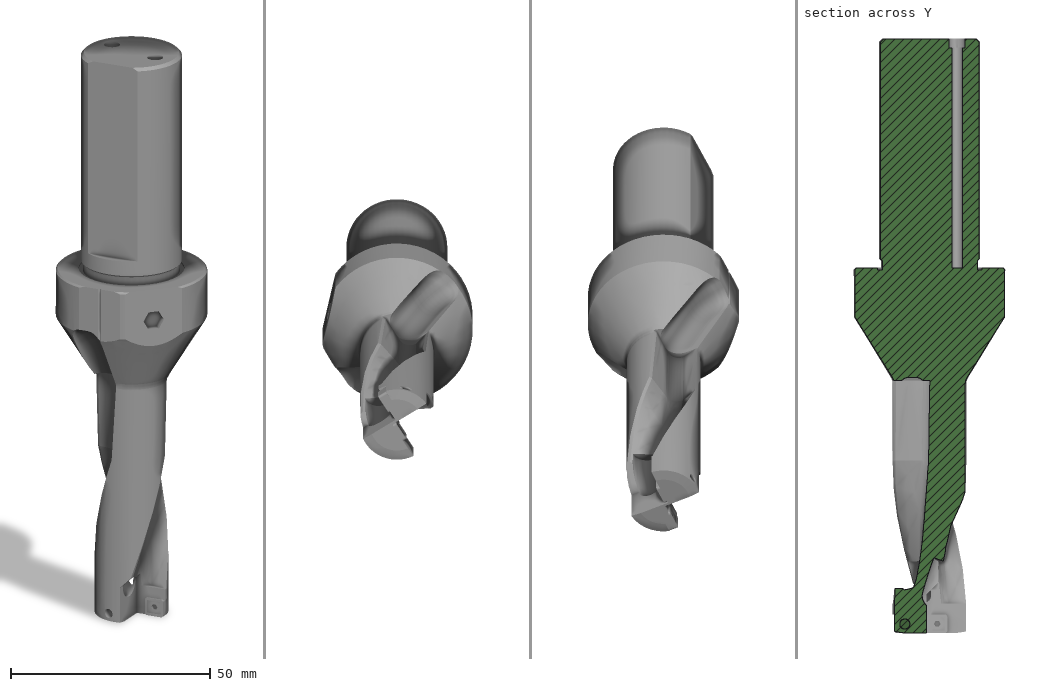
import cadquery as cq
import math


total_length = 149.2
drill_top = 63.4
collar_bottom = 79.4
collar_top = 91.7
shank_bottom = 93.5

drill_radius = 9.2
drill_diameter = 2 * drill_radius
collar_radius = 19.02
shank_radius = 12.7
shank_chamfer = 0.7
small_chamfer = 0.5
neck_radius = shank_radius - small_chamfer
cone_fillet = 3
groove_radius = 13.3
groove_depth = 0.5
tip_flat_radius = 6.7
tip_rise = 0.37

shank_flat_offset = 10.6
shank_flat_bottom = 97.8
collar_flat_offset = 18.12
plug_flat_offset = 17.5
plug_flat_angle = 45
mark_width = 0.7
mark_depth = 0.5

inlet_places = [(-6.9, 2.8), (7.2, -1.0)]
inlet_diameter = 4.0
inlet_depth = 2.2
channel_diameter = 2.7
channel_depth = total_length - collar_top

flute_count = 2
flute_bottom = 7.5
helix_break = 43.3
slow_twist_per_unit = 0.4023
fast_twist_per_unit = 2.145
flute_floor = 2.0
flute_corner_radius = 3
flute_wall_inner_x = 1.3
flute_wall_outer_x = 0.3
flute_edge_drop = 0.5
flute_edge_x = -8.4

scoop_radius = 3.6
scoop_center = (-1.3, 4.0, 9.4)
scoop_lean = 20
scoop_swing = 10
scoop_length = 9

runout_left_x = -9.1
runout_right_x = 0.3
runout_floor_top = 74.6
runout_top = 80.1
runout_fillet = 3.7

insert_width = 5.0
insert_height = 4.6
insert_thickness = 2.4
insert_corner_radius = 0.6
chip_groove_margin = 0.6
chip_groove_depth = 0.3
outer_insert_x = 6.3
inner_insert_x = 2.0
outer_gullet_x = 1.3
inner_gullet_x = -0.7
outer_gullet_wall = 0.5
inner_gullet_wall = 0.9
gullet_top = 9.7
screw_head_diameter = 3.6
screw_diameter = 2.4
screw_head_height = 1.2
screw_length = 6
screw_socket_diameter = 1.6
screw_socket_depth = 0.7

plug_height = 83.5
plug_diameter = 9.5
plug_length = 6
plug_socket_diameter = 5.4
plug_socket_depth = 2.2

clear = 2 * collar_radius


def box_between(x_range, y_range, z_range):
    """Box spanning the given pairs of coordinates."""
    size = [high - low for low, high in (x_range, y_range, z_range)]
    corner = (x_range[0], y_range[0], z_range[0])
    return cq.Workplane("XY").box(*size, centered=False).translate(corner)


def half_turn(shape):
    """Copy on the opposite side of the drill axis."""
    return shape.rotate((0, 0, 0), (0, 0, 1), 180)



def turned_blank():
    """Shank, neck, collar, cone and drill as one turned shape."""
    return (
        cq.Workplane("XZ")
        .moveTo(0, 0)
        .lineTo(tip_flat_radius, 0)
        .lineTo(drill_radius, tip_rise)
        .lineTo(drill_radius, drill_top)
        .lineTo(collar_radius, collar_bottom)
        .lineTo(collar_radius, collar_top - small_chamfer)
        .lineTo(collar_radius - small_chamfer, collar_top)
        .lineTo(groove_radius, collar_top)
        .lineTo(groove_radius, collar_top - groove_depth)
        .lineTo(neck_radius, collar_top - groove_depth)
        .lineTo(neck_radius, shank_bottom)
        .lineTo(shank_radius, shank_bottom + small_chamfer)
        .lineTo(shank_radius, total_length - shank_chamfer)
        .lineTo(shank_radius - shank_chamfer, total_length)
        .lineTo(0, total_length)
        .close()
        .revolve(360, (0, 0, 0), (0, 1, 0))
        .edges(cq.selectors.NearestToPointSelector((0, -drill_radius, drill_top)))
        .fillet(cone_fillet)
    )


def cut_flats(body):
    """Clamping flat on the shank, and the two flats on the collar with the index mark."""
    shank_flat = box_between(
        (-clear, clear), (-clear, -shank_flat_offset), (shank_flat_bottom, total_length + clear)
    )
    collar_range = (drill_top, collar_top)
    collar_flat = box_between((-clear, clear), (-clear, -collar_flat_offset), collar_range)
    plug_flat = box_between((-clear, clear), (-clear, -plug_flat_offset), collar_range)
    plug_flat = plug_flat.rotate((0, 0, 0), (0, 0, 1), plug_flat_angle)
    mark = (
        cq.Workplane("XY", origin=(0, -collar_flat_offset, drill_top))
        .moveTo(-mark_width / 2, 0)
        .lineTo(mark_width / 2, 0)
        .lineTo(0, mark_depth)
        .close()
        .extrude(collar_top - drill_top)
    )
    return body.cut(shank_flat).cut(collar_flat).cut(plug_flat).cut(mark)


def cut_coolant_inlets(body):
    """Stepped coolant holes in the end of the shank."""
    return (
        body.faces(">Z")
        .workplane(origin=(0, 0, total_length))
        .pushPoints(inlet_places)
        .cboreHole(channel_diameter, inlet_diameter, inlet_depth, channel_depth)
    )


def flute_profile(height, turn):
    """Cross-section of a flute at the given height, turned about the axis by an angle."""
    corner_middle = flute_corner_radius * (1 - math.sqrt(0.5))
    return (
        cq.Workplane("XY", origin=(0, 0, height))
        .transformed(rotate=(0, 0, turn))
        .moveTo(-drill_diameter, flute_edge_drop - flute_floor)
        .lineTo(-drill_radius, flute_edge_drop - flute_floor)
        .lineTo(flute_edge_x, -flute_floor)
        .lineTo(flute_wall_inner_x - flute_corner_radius, -flute_floor)
        .threePointArc(
            (flute_wall_inner_x - corner_middle, -flute_floor - corner_middle),
            (flute_wall_inner_x, -flute_floor - flute_corner_radius),
        )
        .lineTo(flute_wall_outer_x, -drill_radius)
        .lineTo(flute_wall_outer_x, -drill_diameter)
        .lineTo(-drill_diameter, -drill_diameter)
        .close()
    )


def flute_runout():
    """Slot whose floor climbs parallel to the cone and curves out at the collar."""
    slope = (collar_radius - drill_radius) / (collar_bottom - drill_top)
    floor_end_y = -flute_floor - slope * (runout_floor_top - drill_top)
    floor_and_end = cq.selectors.BoxSelector(
        (-clear, 1.5 - collar_radius, drill_top + 1.5), (clear, -flute_floor, runout_top - small_chamfer)
    )
    return (
        cq.Workplane("YZ", origin=(runout_left_x, 0, 0))
        .moveTo(-flute_floor, drill_top)
        .lineTo(floor_end_y, runout_floor_top)
        .tangentArcPoint((-collar_radius, runout_top), relative=False)
        .lineTo(-clear, runout_top)
        .lineTo(-clear, drill_top)
        .close()
        .extrude(runout_right_x - runout_left_x)
        .edges(floor_and_end)
        .edges("not |X")
        .fillet(runout_fillet)
    )


def flute_scoop():
    """Ball and cylinder that lean out of the drill towards their upper end."""
    return (
        cq.Workplane("XY")
        .circle(scoop_radius)
        .extrude(scoop_length)
        .union(cq.Workplane("XY").sphere(scoop_radius))
        .rotate((0, 0, 0), (0, 1, 0), -scoop_lean)
        .rotate((0, 0, 0), (1, 0, 0), scoop_swing)
        .translate(scoop_center)
    )


def cut_flutes(body):
    """Helical flutes with a ball-shaped lower end and a run-out in the cone."""
    slow_length = drill_top - helix_break
    slow_twist = slow_twist_per_unit * slow_length
    fast_length = helix_break - flute_bottom
    fast_twist = fast_twist_per_unit * fast_length
    slow_helix = flute_profile(helix_break, -slow_twist).twistExtrude(slow_length, slow_twist)
    fast_helix = flute_profile(flute_bottom, -slow_twist - fast_twist)
    fast_helix = fast_helix.twistExtrude(fast_length, fast_twist)
    scoop = flute_scoop()
    runout = flute_runout()
    for index in range(flute_count):
        turn = index * 360 / flute_count
        for cutter in (fast_helix, slow_helix, scoop, runout):
            body = body.cut(cutter.rotate((0, 0, 0), (0, 0, 1), turn))
    return body



def insert_blank(center_x):
    """Square insert without its groove and screw hole."""
    return (
        cq.Workplane("XZ", origin=(center_x, 0, insert_height / 2))
        .rect(insert_width, insert_height)
        .extrude(-insert_thickness)
        .edges("|Y")
        .fillet(insert_corner_radius)
    )


def screw_blank(center_x, length):
    """Countersunk screw without its socket; its head lies in the insert's groove floor."""
    half_head = screw_head_diameter / 2
    half_shank = screw_diameter / 2
    return (
        cq.Workplane("XY", origin=(center_x, 0, insert_height / 2))
        .moveTo(0, chip_groove_depth)
        .lineTo(half_head, chip_groove_depth)
        .lineTo(half_shank, screw_head_height)
        .lineTo(half_shank, length)
        .lineTo(0, length)
        .close()
        .revolve(360, (0, 0, 0), (0, 1, 0))
    )


def make_insert(center_x):
    """Insert with a sunken chip groove and a countersunk hole."""
    groove = (
        cq.Workplane("XZ", origin=(center_x, 0, insert_height / 2))
        .rect(insert_width - 2 * chip_groove_margin, insert_height - 2 * chip_groove_margin)
        .extrude(-chip_groove_depth)
    )
    return insert_blank(center_x).cut(groove).cut(screw_blank(center_x, screw_length))


def make_screw(center_x):
    """Countersunk insert screw with a hexagonal socket."""
    socket = (
        cq.Workplane("XZ", origin=(center_x, 0, insert_height / 2))
        .polygon(6, screw_socket_diameter)
        .extrude(-chip_groove_depth - screw_socket_depth)
    )
    return screw_blank(center_x, screw_length).cut(socket)


def insert_seat(center_x, gullet_x, gullet_wall):
    """Chip gullet with a 45 degree top, insert pocket and through screw hole to remove from the body."""
    gullet = (
        cq.Workplane("XZ", origin=(0, gullet_wall, 0))
        .moveTo(gullet_x, 0)
        .lineTo(gullet_x, gullet_top)
        .lineTo(gullet_x + drill_diameter, gullet_top + drill_diameter)
        .lineTo(gullet_x + drill_diameter, 0)
        .close()
        .extrude(drill_diameter)
    )
    return gullet.union(insert_blank(center_x)).union(screw_blank(center_x, clear))


def cut_insert_seats(body):
    """Outer seat, open to the side of the drill, and inner seat near the axis."""
    outer_side = box_between(
        (outer_insert_x, clear), (-clear, insert_thickness), (-clear, insert_height)
    )
    outer_seat = insert_seat(outer_insert_x, outer_gullet_x, outer_gullet_wall)
    inner_seat = half_turn(insert_seat(inner_insert_x, inner_gullet_x, inner_gullet_wall))
    return body.cut(outer_seat).cut(outer_side).cut(inner_seat)



def plug_blank():
    """Cylinder of the plug, flush with the slanting flat of the collar."""
    return (
        cq.Workplane("XZ", origin=(0, -plug_flat_offset, plug_height))
        .circle(plug_diameter / 2)
        .extrude(-plug_length)
        .rotate((0, 0, 0), (0, 0, 1), plug_flat_angle)
    )


def make_plug():
    """Threaded plug with a hexagonal socket."""
    socket = (
        cq.Workplane("XZ", origin=(0, -plug_flat_offset, plug_height))
        .polygon(6, plug_socket_diameter)
        .extrude(-plug_socket_depth)
        .rotate((0, 0, 0), (0, 0, 1), plug_flat_angle)
    )
    return plug_blank().cut(socket)


def make_drill_body():
    """Complete drill body with the recesses for the other bodies."""
    body = cut_flats(turned_blank())
    body = cut_coolant_inlets(body)
    body = cut_flutes(body)
    body = cut_insert_seats(body)
    return body.cut(plug_blank())


drill_body = make_drill_body()
plug = make_plug()
bodies = [drill_body.solids().val(), plug.solids().val()]
for make_part in (make_insert, make_screw):
    bodies.append(make_part(outer_insert_x).solids().val())
    bodies.append(half_turn(make_part(inner_insert_x)).solids().val())

result = cq.Compound.makeCompound(bodies)